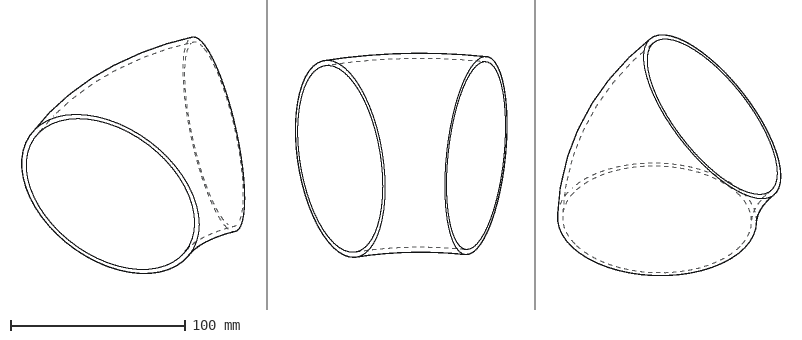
import cadquery as cq

outer_diameter = 114.3
wall_thickness = 3.0
bend_radius = 102.0
bend_angle = 45.0

outer_radius = outer_diameter / 2
inner_radius = outer_radius - wall_thickness


def make_elbow():
    """Sweep the pipe ring, centred on the origin in the XZ plane, about the bend axis.

    The bend axis is parallel to Z and lies bend_radius along +X, so the pipe
    leaves its first end toward +Y and curves toward +X.
    """
    ring = cq.Workplane("XZ").circle(outer_radius).circle(inner_radius)
    axis_start = (bend_radius, 0, 0)
    axis_end = (bend_radius, -1, 0)
    return ring.revolve(bend_angle, axis_start, axis_end)


result = make_elbow()